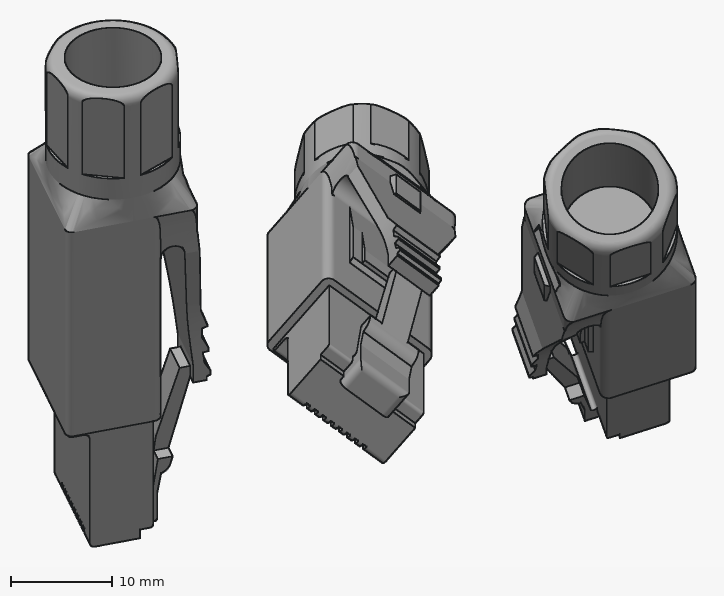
import cadquery as cq
import math

TOTAL_HEIGHT = 57.0
EPS = 0.005
OVERLAP = 0.55

HOOD_SIZE = 13.7
HOOD_HALF = HOOD_SIZE / 2
HOOD_BOTTOM = 16.1
HOOD_TOP = 41.6
HOOD_BACK = 3.1
FRONT_CORNER_RADIUS = 0.7
BACK_CORNER_RADIUS = 0.9

NUT_RADIUS = 6.65
NUT_BOTTOM = 44.4
NUT_TOP_ROUND = 1.0
BORE_RADIUS = 4.8
FLAT_COUNT = 7
FLAT_DISTANCE = 6.3
FLAT_BOTTOM = 47.0

NOTCH_HALF_WIDTH = 3.3
NOTCH_FLOOR = 6.25

SLOT_TOP_Z = 35.8
SLOT_LEVER_Y = 5.55
LEVER_TIP_INNER_Y = 7.45
LEVER_TIP_Z = 16.55
LEVER_KINK_Z = 18.8
LEVER_TAPER_END_Z = 27.0
LEVER_GRIP_TOP_Z = 21.1
LEVER_GRIP_HALF_WIDTH = 2.6
LEVER_TAPER_ANGLE = 17.0
LEVER_ROOT_BULGE = -0.15
LEVER_ROOT_BOTTOM = 38.2

GRIP_TEETH = [
    [(8.95, 23.5), (8.95, 23.35), (8.4, 23.2), (8.4, 22.0)],
    [(9.05, 20.6), (9.05, 20.1), (8.5, 20.05), (8.65, 18.75)],
    [(9.3, 17.6), (9.3, 17.15), (8.9, 17.0), (8.9, LEVER_TIP_Z)],
]
GRIP_START_Y, GRIP_START_Z = 8.1, 26.0

PAD_Y = 7.35
PAD_BOTTOM, PAD_TOP = 35.1, 39.55
PAD_HALF_WIDTH = 1.9
PAD_CREST_HALF_WIDTH = 1.55

STOP_CREST = 4.05
STOP_SHOULDER = 3.6
STOP_CREST_TOP, STOP_CREST_BOTTOM = 25.65, 23.25
STOP_FOOT = 22.8
STOP_HALF_WIDTH = 2.85
STOP_SHOULDER_HALF_WIDTH = 4.0

PLUG_WIDTH = 11.95
PLUG_BACK = 2.35
PLUG_FRONT = -4.2
PLUG_BOTTOM = 1.0
FLANGE_FRONT = -6.5
FLANGE_BOTTOM = 15.3
FLANGE_ROUND = 0.45
FLANGE_FILLET = 0.7
PLUG_EDGE_ROUND = 0.55
STEP_Y, STEP_Z = 0.95, 2.1
STEP_ROUND = 0.35

CONTACT_COUNT = 8
CONTACT_ROW_LENGTH = 7.1
CONTACT_PITCH = CONTACT_ROW_LENGTH / (CONTACT_COUNT - 1)
CONTACT_WIDTH = 0.45
CONTACT_TOP = 2.05
CONTACT_DEPTH = 0.55
CONTACT_OFFSET_X = 0.3

LATCH_WIDTH = 6.1
LATCH_TIP_WIDTH = 3.25
LATCH_SHOULDER_Z = 8.15
LATCH_TOP = 17.9
LATCH_BACK = 3.65
LATCH_NOSE_Y = 0.4
LATCH_NOSE_ROUND = 0.8
LATCH_KNEE_Y, LATCH_KNEE_Z = 3.95, 9.9
LATCH_SHOULDER_INNER_Y = 3.7
LATCH_SHOULDER_OUTER_Y = 5.25
LATCH_TOP_INNER_Y = 6.4
LATCH_GAP_Y, LATCH_GAP_Z = 3.0, 3.4
LATCH_FOOT_TOP = 3.95
LATCH_NECK_Y, LATCH_NECK_Z = 4.05, 6.25
LATCH_BUMP_Y, LATCH_BUMP_Z = 5.1, 7.5
LATCH_BUMP_BULGE = -0.2


def extrude_side_profile(profile, width):
    """Extrude a closed YZ profile symmetrically about X = 0."""
    return profile.close().extrude(width / 2, both=True)


def side_polygon(points, width):
    return extrude_side_profile(cq.Workplane("YZ").polyline(points), width)


def box_between(x0, x1, y0, y1, z0, z1):
    return cq.Workplane("XY").box(x1 - x0, y1 - y0, z1 - z0, centered=False).translate((x0, y0, z0))


def hood_block():
    block = box_between(-HOOD_HALF, HOOD_HALF, -HOOD_HALF, HOOD_BACK, HOOD_BOTTOM, HOOD_TOP)
    block = block.edges("|Z and <Y").fillet(FRONT_CORNER_RADIUS)
    return block.edges("|Z and >Y").fillet(BACK_CORNER_RADIUS)


def transition():
    """Loft from the rounded square of the hood to the round nut, with a shallow notch in its back."""
    square = (
        cq.Sketch()
        .rect(HOOD_SIZE, HOOD_SIZE)
        .vertices("<Y")
        .fillet(FRONT_CORNER_RADIUS)
        .reset()
        .vertices(">Y")
        .fillet(BACK_CORNER_RADIUS)
        .reset()
    )
    rise = NUT_BOTTOM - HOOD_TOP
    circle = cq.Sketch().circle(NUT_RADIUS).moved(cq.Location(cq.Vector(0, 0, rise)))
    loft = cq.Workplane("XY").workplane(offset=HOOD_TOP).placeSketch(square, circle).loft(ruled=True)
    notch = side_polygon(
        [
            (HOOD_HALF, HOOD_TOP),
            (NOTCH_FLOOR, HOOD_TOP + rise / 3),
            (NOTCH_FLOOR, HOOD_TOP + 2 * rise / 3),
            (NUT_RADIUS, NUT_BOTTOM),
            (HOOD_HALF + OVERLAP, NUT_BOTTOM),
            (HOOD_HALF + OVERLAP, HOOD_TOP),
        ],
        2 * NOTCH_HALF_WIDTH,
    )
    return loft.cut(notch)


def cable_nut():
    nut_height = TOTAL_HEIGHT - NUT_BOTTOM
    nut = cq.Workplane("XY").workplane(offset=NUT_BOTTOM).circle(NUT_RADIUS).extrude(nut_height)
    nut = nut.faces(">Z").edges().fillet(NUT_TOP_ROUND)
    for i in range(FLAT_COUNT):
        cutter = box_between(
            FLAT_DISTANCE, FLAT_DISTANCE + NUT_RADIUS, -NUT_RADIUS, NUT_RADIUS, FLAT_BOTTOM, TOTAL_HEIGHT
        )
        angle = 180 + i * 360 / FLAT_COUNT
        nut = nut.cut(cutter.rotate((0, 0, 0), (0, 0, 1), angle))
    bore = cq.Workplane("XY").workplane(offset=NUT_BOTTOM).circle(BORE_RADIUS).extrude(nut_height)
    return nut.cut(bore)


def lever_side_shape():
    """Lever root, arm and grip teeth in the YZ plane, with the round-ended slot under the arm."""
    slot_radius = (SLOT_LEVER_Y - HOOD_BACK) / 2
    slot_middle = (SLOT_LEVER_Y + HOOD_BACK) / 2
    profile = (
        cq.Workplane("YZ")
        .moveTo(0, HOOD_TOP)
        .lineTo(HOOD_HALF, HOOD_TOP)
        .lineTo(HOOD_HALF, LEVER_ROOT_BOTTOM)
        .lineTo(GRIP_START_Y, GRIP_START_Z)
    )
    for tooth in GRIP_TEETH:
        for y, z in tooth:
            profile = profile.lineTo(y, z)
    profile = (
        profile
        .lineTo(LEVER_TIP_INNER_Y, LEVER_TIP_Z)
        .lineTo(LEVER_TIP_INNER_Y, LEVER_KINK_Z)
        .lineTo(SLOT_LEVER_Y, SLOT_TOP_Z)
        .threePointArc((slot_middle, SLOT_TOP_Z + slot_radius), (HOOD_BACK, SLOT_TOP_Z))
        .lineTo(0, SLOT_TOP_Z)
    )
    return extrude_side_profile(profile, HOOD_SIZE)


def lever_back_shape():
    """Width of the lever in the XZ plane: arc at the root, straight taper, arc into the grip."""
    taper = math.radians(LEVER_TAPER_ANGLE)
    grip_arc_radius = (LEVER_TAPER_END_Z - LEVER_GRIP_TOP_Z) / math.sin(taper)
    taper_end = LEVER_GRIP_HALF_WIDTH + grip_arc_radius * (1 - math.cos(taper))
    taper_start = taper_end + (SLOT_TOP_Z - LEVER_TAPER_END_Z) * math.tan(taper)
    return (
        cq.Workplane("XZ")
        .moveTo(0, HOOD_TOP)
        .lineTo(HOOD_HALF, HOOD_TOP)
        .sagittaArc((taper_start, SLOT_TOP_Z), LEVER_ROOT_BULGE)
        .lineTo(taper_end, LEVER_TAPER_END_Z)
        .tangentArcPoint((LEVER_GRIP_HALF_WIDTH, LEVER_GRIP_TOP_Z), relative=False)
        .lineTo(LEVER_GRIP_HALF_WIDTH, LEVER_TIP_Z)
        .lineTo(0, LEVER_TIP_Z)
        .mirrorY()
        .extrude(HOOD_SIZE, both=True)
    )


def lever():
    root = box_between(-HOOD_HALF, HOOD_HALF, -HOOD_HALF, HOOD_HALF, LEVER_ROOT_BOTTOM, HOOD_TOP)
    root = root.edges("|Z and >Y").fillet(BACK_CORNER_RADIUS)
    arm = box_between(-HOOD_HALF, HOOD_HALF, 0, HOOD_SIZE, LEVER_TIP_Z, LEVER_ROOT_BOTTOM)
    return lever_side_shape().intersect(lever_back_shape()).intersect(root.union(arm))


def lever_pad():
    return (
        cq.Workplane("XY")
        .workplane(offset=PAD_BOTTOM)
        .polyline(
            [
                (-PAD_HALF_WIDTH, HOOD_HALF - OVERLAP),
                (-PAD_HALF_WIDTH, HOOD_HALF),
                (-PAD_CREST_HALF_WIDTH, PAD_Y),
                (PAD_CREST_HALF_WIDTH, PAD_Y),
                (PAD_HALF_WIDTH, HOOD_HALF),
                (PAD_HALF_WIDTH, HOOD_HALF - OVERLAP),
            ]
        )
        .close()
        .extrude(PAD_TOP - PAD_BOTTOM)
    )


def lever_stop():
    points = [
        (0, SLOT_TOP_Z),
        (HOOD_BACK, SLOT_TOP_Z),
        (STOP_CREST, STOP_CREST_TOP),
        (STOP_CREST, STOP_CREST_BOTTOM),
        (STOP_SHOULDER, STOP_CREST_BOTTOM),
        (HOOD_BACK, STOP_FOOT),
        (0, STOP_FOOT),
    ]
    crest = side_polygon(points, 2 * STOP_HALF_WIDTH)
    shoulder_limit = box_between(-HOOD_HALF, HOOD_HALF, 0, STOP_SHOULDER, STOP_FOOT, SLOT_TOP_Z)
    shoulder = side_polygon(points, 2 * STOP_SHOULDER_HALF_WIDTH).intersect(shoulder_limit)
    return crest.union(shoulder)


def make_hood():
    hood = hood_block().union(transition()).union(cable_nut())
    return hood.union(lever()).union(lever_pad()).union(lever_stop())


def plug_body():
    body = side_polygon(
        [
            (PLUG_BACK, HOOD_BOTTOM),
            (PLUG_BACK, STEP_Z),
            (STEP_Y, STEP_Z),
            (STEP_Y, PLUG_BOTTOM),
            (PLUG_FRONT, PLUG_BOTTOM),
            (PLUG_FRONT, FLANGE_BOTTOM),
            (FLANGE_FRONT, FLANGE_BOTTOM),
            (FLANGE_FRONT, HOOD_BOTTOM),
        ],
        PLUG_WIDTH,
    )

    def edge_at(y, z):
        return cq.selectors.BoxSelector((-EPS, y - EPS, z - EPS), (EPS, y + EPS, z + EPS))

    body = body.edges(edge_at(PLUG_BACK, STEP_Z)).fillet(STEP_ROUND)
    body = body.edges(edge_at(PLUG_FRONT, PLUG_BOTTOM)).fillet(PLUG_EDGE_ROUND)
    body = body.edges(edge_at(PLUG_FRONT, FLANGE_BOTTOM)).fillet(FLANGE_FILLET)
    return body.edges(edge_at(FLANGE_FRONT, FLANGE_BOTTOM)).fillet(FLANGE_ROUND)


def contact_slots():
    slots = cq.Workplane("XY")
    for i in range(CONTACT_COUNT):
        x = CONTACT_OFFSET_X - CONTACT_ROW_LENGTH / 2 + i * CONTACT_PITCH
        slots = slots.add(
            box_between(
                x - CONTACT_WIDTH / 2, x + CONTACT_WIDTH / 2,
                PLUG_FRONT, PLUG_FRONT + CONTACT_DEPTH,
                PLUG_BOTTOM, CONTACT_TOP,
            )
        )
    return slots.combine()


def latch():
    """Spring latch: foot in the plug's step, wide root and narrow tip."""
    gap_radius = (LATCH_GAP_Y - PLUG_BACK) / 2
    profile = (
        cq.Workplane("YZ")
        .moveTo(LEVER_TIP_INNER_Y, LATCH_TOP)
        .lineTo(LATCH_TOP_INNER_Y, LATCH_TOP)
        .lineTo(LATCH_KNEE_Y, LATCH_KNEE_Z)
        .lineTo(LATCH_SHOULDER_INNER_Y, LATCH_SHOULDER_Z)
        .lineTo(LATCH_GAP_Y, LATCH_GAP_Z)
        .threePointArc((PLUG_BACK + gap_radius, LATCH_GAP_Z - gap_radius), (PLUG_BACK, LATCH_GAP_Z))
        .lineTo(STEP_Y, LATCH_GAP_Z)
        .lineTo(STEP_Y, PLUG_BOTTOM)
        .lineTo(LATCH_NOSE_Y, PLUG_BOTTOM)
        .lineTo(LATCH_NOSE_Y, 0)
        .lineTo(LATCH_BACK - LATCH_NOSE_ROUND, 0)
        .tangentArcPoint((LATCH_BACK, LATCH_NOSE_ROUND), relative=False)
        .lineTo(LATCH_BACK, LATCH_FOOT_TOP)
        .lineTo(LATCH_NECK_Y, LATCH_NECK_Z)
        .sagittaArc((LATCH_BUMP_Y, LATCH_BUMP_Z), LATCH_BUMP_BULGE)
        .lineTo(LATCH_SHOULDER_OUTER_Y, LATCH_SHOULDER_Z)
        .lineTo(LEVER_TIP_INNER_Y, LEVER_TIP_Z)
    )
    side_shape = extrude_side_profile(profile, LATCH_WIDTH)
    root = box_between(-LATCH_WIDTH / 2, LATCH_WIDTH / 2, 0, HOOD_SIZE, 0, LATCH_SHOULDER_Z)
    root = root.edges("|Y and <Z").fillet(LATCH_NOSE_ROUND)
    tip = box_between(-LATCH_TIP_WIDTH / 2, LATCH_TIP_WIDTH / 2, 0, HOOD_SIZE, LATCH_SHOULDER_Z, LATCH_TOP)
    return side_shape.intersect(root.union(tip))


def make_plug():
    return plug_body().cut(contact_slots()).union(latch())


hood = make_hood().solids()
plug = make_plug().solids()
result = cq.Compound.makeCompound([hood.val(), plug.val()])